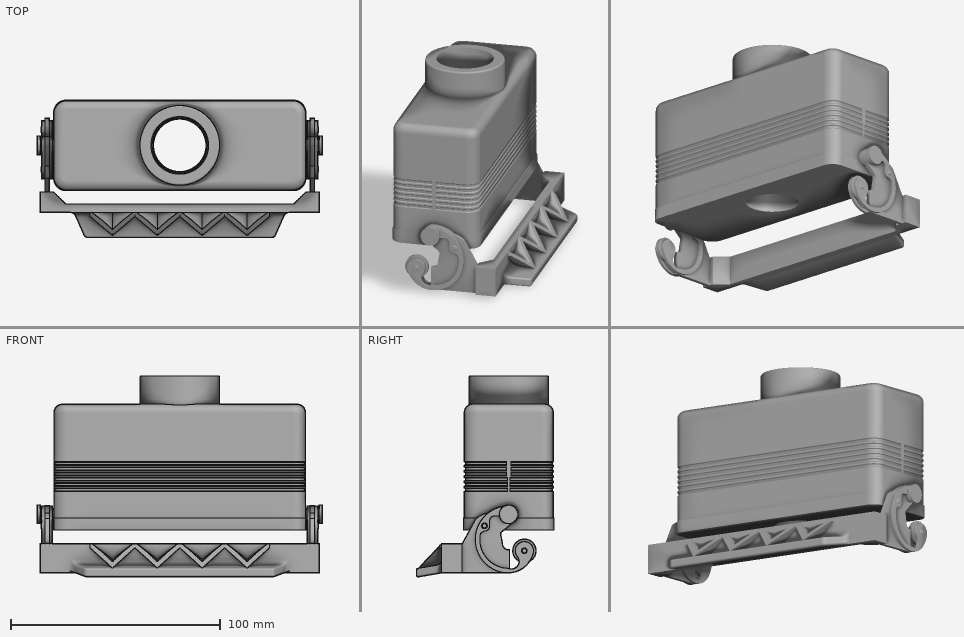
import cadquery as cq
import math

HOOD_LENGTH = 120.0
HOOD_WIDTH = 42.5
HOOD_HEIGHT = 60.0
HOOD_CORNER_RADIUS = 6.0
HOOD_TOP_RADIUS = 4.0
SKIRT_LENGTH = 120.3
SKIRT_WIDTH = 43.2
SKIRT_HEIGHT = 5.8

COLLAR_DIAMETER = 38.0
COLLAR_TOP_Z = 73.5
COLLAR_EDGE_RADIUS = 0.8
BORE_DIAMETER = 27.5
PASSAGE_DIAMETER = 25.0
PASSAGE_CHAMFER = 0.6

GROOVE_COUNT = 6
GROOVE_LOWEST_Z = 19.2
GROOVE_PITCH = 2.5
GROOVE_WIDTH = 1.8
GROOVE_FLOOR_WIDTH = 1.0
GROOVE_DEPTH = 0.5
LOWER_GROOVE_COUNT = 3
LOWER_BRIDGE_WIDTH = 1.3
UPPER_BRIDGE_WIDTH = 2.1

LATCH_MID_X = 63.3
LEVER_THICKNESS = 2.15
HOOK_THICKNESS = 1.5
HOOK_OUTER_X = LATCH_MID_X + LEVER_THICKNESS / 2 + HOOK_THICKNESS
PIVOT_Z = 7.5
PIVOT_PIN_DIAMETER = 5.4
PIVOT_CAP_DIAMETER = 9.0
PIVOT_CAP_THICKNESS = 1.5
PIVOT_CAP_OUTER_X = 68.0
PIVOT_DISC_RADIUS = 4.0
LEVER_EYE_RADIUS = 4.15
HOOK_CENTER_Z = -4.5
HOOK_OUTER_RADIUS = 16.0
HOOK_INNER_RADIUS = 13.8
ROLLER_Y = 7.45
ROLLER_Z = -9.9
ROLLER_RADIUS = 5.6
HOOK_HEAD_RADIUS = 4.35
RIVET_Y = -11.6
RIVET_Z = 2.0
RIVET_DIAMETER = 2.7
RIVET_HEIGHT = 0.4
RIVET_CHAMFER = 0.3

BAR_LENGTH = 133.2
BAR_TOP_Z = -6.5
BAR_BOTTOM_Z = HOOK_CENTER_Z - HOOK_OUTER_RADIUS
BAR_BACK_Y = -22.2
BAR_RELIEF_Y = -27.9
BAR_FRONT_Y = -32.0
BAR_END_HALF_LENGTH = 60.25
BAR_RELIEF_HALF_LENGTH = 54.3

LIP_TIP_Y = -44.04
LIP_SLOPE = 9.6
LIP_TOP_ROOT_Z = -16.4
LIP_ROOT_HALF_LENGTH = 50.45
LIP_TIP_HALF_LENGTH = 45.1
LIP_CORNER_RADIUS = 2.0
LIP_EDGE_RADIUS = 0.9
LIP_ROOT_RADIUS = 2.8

TOOTH_COUNT = 4
TOOTH_PITCH = 21.4
TOOTH_VALLEY_Z = -8.5
TOOTH_APEX_Y = -43.0
TOOTH_APEX_Z = -18.2
POCKET_HALF_WIDTH = 9.75
POCKET_BACK_Z = -14.0
POCKET_FRONT_Z = -15.5


def polar(center_y, center_z, radius, angle):
    """Point of a circle in the YZ plane, angle in degrees from +Y towards +Z."""
    turn = math.radians(angle)
    return center_y + radius * math.cos(turn), center_z + radius * math.sin(turn)


def disc(y, z, radius, x_start, x_end):
    """Cylinder along X."""
    return cq.Workplane("YZ", origin=(x_start, 0, 0)).center(y, z).circle(radius).extrude(x_end - x_start)


def rounded_block(length, width, height, radius):
    """Upright block standing on Z = 0 with rounded corners in plan."""
    block = cq.Workplane("XY").rect(length, width).extrude(height)
    return block.edges("|Z").fillet(radius)


def make_groove(z, bridge_width):
    """Trapezoid ring groove, left out at the middle of both hood ends."""
    half_floor = GROOVE_FLOOR_WIDTH / 2
    half_mouth = GROOVE_WIDTH / 2
    floor_y = GROOVE_DEPTH - HOOD_WIDTH / 2
    mouth_y = -HOOD_WIDTH / 2
    section = (
        cq.Workplane("YZ")
        .polyline([(floor_y, z - half_floor), (floor_y, z + half_floor), (mouth_y, z + half_mouth),
                   (mouth_y, z - half_mouth)])
        .close()
    )
    path = cq.Workplane("XY", origin=(0, 0, z)).rect(HOOD_LENGTH, HOOD_WIDTH).extrude(1)
    path = path.edges("|Z").fillet(HOOD_CORNER_RADIUS).faces("<Z").wires()
    ring = section.sweep(path, transition="right")
    bridge = cq.Workplane("XY").box(2 * HOOD_LENGTH, bridge_width, 2 * HOOD_HEIGHT)
    return ring.cut(bridge)


def make_hood():
    hood = rounded_block(HOOD_LENGTH, HOOD_WIDTH, HOOD_HEIGHT, HOOD_CORNER_RADIUS)
    hood = hood.faces(">Z").edges().fillet(HOOD_TOP_RADIUS)
    for index in range(GROOVE_COUNT):
        bridge_width = LOWER_BRIDGE_WIDTH if index < LOWER_GROOVE_COUNT else UPPER_BRIDGE_WIDTH
        hood = hood.cut(make_groove(GROOVE_LOWEST_Z + index * GROOVE_PITCH, bridge_width))
    return hood.union(rounded_block(SKIRT_LENGTH, SKIRT_WIDTH, SKIRT_HEIGHT, HOOD_CORNER_RADIUS))


def add_cable_entry(hood):
    """Collar with a bore down to the hood top and a narrower passage right through the hood."""
    collar_height = COLLAR_TOP_Z - HOOD_HEIGHT
    collar = cq.Workplane("XY").circle(COLLAR_DIAMETER / 2).extrude(COLLAR_TOP_Z)
    collar = collar.faces(">Z").edges().fillet(COLLAR_EDGE_RADIUS)
    bore = (
        cq.Workplane("XY", origin=(0, 0, HOOD_HEIGHT))
        .circle(BORE_DIAMETER / 2)
        .extrude(collar_height)
        .faces("<Z").chamfer(PASSAGE_CHAMFER)
    )
    passage = cq.Workplane("XY").circle(PASSAGE_DIAMETER / 2).extrude(HOOD_HEIGHT)
    return hood.union(collar).cut(bore).cut(passage)


def make_lever():
    """Lever plate from the pivot eye to the handle bar, with the roller disc beside it."""
    x_start = LATCH_MID_X - LEVER_THICKNESS / 2
    x_end = LATCH_MID_X + LEVER_THICKNESS / 2
    eye_top = polar(0, PIVOT_Z, LEVER_EYE_RADIUS, 90)
    eye_back = polar(0, PIVOT_Z, LEVER_EYE_RADIUS, 0)
    eye_throat = polar(0, PIVOT_Z, LEVER_EYE_RADIUS, -49)
    crest_radius = HOOK_OUTER_RADIUS + LEVER_EYE_RADIUS - PIVOT_DISC_RADIUS
    crest_mid = polar(0, HOOK_CENTER_Z, crest_radius, 109)
    crest_end = polar(0, HOOK_CENTER_Z, crest_radius, 128)
    shoulder_mid = (-12.9, 7.2)
    shoulder_end = (-15.6, 5.5)
    bar_overlap_y = BAR_BACK_Y - 1
    finger_y = 0.35
    finger_top_z = -9.4
    throat_lower_mid = (-2.0, -8.7)
    throat_lower_end = (-2.9, -7.2)
    throat_mid = (-3.3, -4.6)
    throat_upper_end = (-3.8, -2.3)
    throat_corner_mid = (-3.7, -1.4)
    throat_corner_end = (-3.1, -0.7)
    plate = (
        cq.Workplane("YZ", origin=(x_start, 0, 0))
        .moveTo(*eye_top)
        .threePointArc(crest_mid, crest_end)
        .threePointArc(shoulder_mid, shoulder_end)
        .lineTo(BAR_BACK_Y, BAR_TOP_Z)
        .lineTo(bar_overlap_y, BAR_TOP_Z)
        .lineTo(bar_overlap_y, BAR_BOTTOM_Z)
        .lineTo(finger_y, BAR_BOTTOM_Z)
        .lineTo(finger_y, finger_top_z)
        .threePointArc(throat_lower_mid, throat_lower_end)
        .threePointArc(throat_mid, throat_upper_end)
        .threePointArc(throat_corner_mid, throat_corner_end)
        .lineTo(*eye_throat)
        .threePointArc(eye_back, eye_top)
        .close()
        .extrude(LEVER_THICKNESS)
    )
    return plate.union(disc(ROLLER_Y, ROLLER_Z, ROLLER_RADIUS, x_start, x_end))


def make_hook(x_start):
    """Hook plate curling from the pivot around the throat to the head that carries the roller."""
    x_end = x_start + HOOK_THICKNESS
    outer_top = polar(0, HOOK_CENTER_Z, HOOK_OUTER_RADIUS, 90)
    outer_mid = polar(0, HOOK_CENTER_Z, HOOK_OUTER_RADIUS, 180)
    outer_bottom = polar(0, HOOK_CENTER_Z, HOOK_OUTER_RADIUS, 270)
    inner_bottom = polar(0, HOOK_CENTER_Z, HOOK_INNER_RADIUS, 270)
    inner_mid = polar(0, HOOK_CENTER_Z, HOOK_INNER_RADIUS, 225)
    inner_end = polar(0, HOOK_CENTER_Z, HOOK_INNER_RADIUS, 170)
    head_back = polar(ROLLER_Y, ROLLER_Z, HOOK_HEAD_RADIUS, -10)
    head_neck = polar(ROLLER_Y, ROLLER_Z, HOOK_HEAD_RADIUS, 220)
    back_mid = (8.9, -16.3)
    neck_mid = (4.4, -16.8)
    lobe_radius = 2.5
    lobe_entry_mid = (-12.9, -1.2)
    lobe_bottom = polar(RIVET_Y, RIVET_Z, lobe_radius, -90)
    lobe_mid = polar(RIVET_Y, RIVET_Z, lobe_radius, -45)
    lobe_side = polar(RIVET_Y, RIVET_Z, lobe_radius, 0)
    arm_lower_z = 6.6
    arm_corner_radius = 2.0
    corner_y = lobe_side[0] + arm_corner_radius
    corner_z = arm_lower_z - arm_corner_radius
    arm = (
        cq.Workplane("YZ", origin=(x_start, 0, 0))
        .moveTo(*outer_top)
        .threePointArc(outer_mid, outer_bottom)
        .threePointArc(back_mid, head_back)
        .lineTo(ROLLER_Y, ROLLER_Z)
        .lineTo(*head_neck)
        .threePointArc(neck_mid, inner_bottom)
        .threePointArc(inner_mid, inner_end)
        .threePointArc(lobe_entry_mid, lobe_bottom)
        .threePointArc(lobe_mid, lobe_side)
        .lineTo(lobe_side[0], corner_z)
        .threePointArc(polar(corner_y, corner_z, -arm_corner_radius, -45), (corner_y, arm_lower_z))
        .lineTo(0, arm_lower_z)
        .close()
        .extrude(HOOK_THICKNESS)
    )
    pivot_disc = disc(0, PIVOT_Z, PIVOT_DISC_RADIUS, x_start, x_end)
    head = disc(ROLLER_Y, ROLLER_Z, HOOK_HEAD_RADIUS, x_start, x_end)
    return arm.union(pivot_disc).union(head)


def make_rivet(y, z):
    """Low chamfered rivet head on the outside of the outer hook plate."""
    head = disc(y, z, RIVET_DIAMETER / 2, HOOK_OUTER_X, HOOK_OUTER_X + RIVET_HEIGHT)
    return head.faces(">X").chamfer(RIVET_CHAMFER)


def make_latch():
    """Latch at the +X end, including the pivot pin that ties it to the hood."""
    latch = make_lever()
    latch = latch.union(make_hook(LATCH_MID_X + LEVER_THICKNESS / 2))
    latch = latch.union(make_hook(LATCH_MID_X - LEVER_THICKNESS / 2 - HOOK_THICKNESS))
    cap_start = PIVOT_CAP_OUTER_X - PIVOT_CAP_THICKNESS
    latch = latch.union(disc(0, PIVOT_Z, PIVOT_PIN_DIAMETER / 2, HOOD_LENGTH / 2 - 1, cap_start))
    latch = latch.union(disc(0, PIVOT_Z, PIVOT_CAP_DIAMETER / 2, cap_start, PIVOT_CAP_OUTER_X))
    for y, z in [(RIVET_Y, RIVET_Z), (ROLLER_Y, ROLLER_Z)]:
        latch = latch.union(make_rivet(y, z))
    return latch


def make_bar():
    """Straight bar with thicker ends that meet the levers."""
    half = BAR_LENGTH / 2
    outline = [
        (-half, BAR_FRONT_Y),
        (half, BAR_FRONT_Y),
        (half, BAR_BACK_Y),
        (BAR_END_HALF_LENGTH, BAR_BACK_Y),
        (BAR_RELIEF_HALF_LENGTH, BAR_RELIEF_Y),
        (-BAR_RELIEF_HALF_LENGTH, BAR_RELIEF_Y),
        (-BAR_END_HALF_LENGTH, BAR_BACK_Y),
        (-half, BAR_BACK_Y),
    ]
    bar = cq.Workplane("XY", origin=(0, 0, BAR_BOTTOM_Z)).polyline(outline).close()
    return bar.extrude(BAR_TOP_Z - BAR_BOTTOM_Z)


def root_flare(slope, root_offset):
    """Arc blending the bar face into a lip face that starts at root_offset and falls off towards the tip.

    Each point is (Y, offset); the order is bar face, middle of the arc, lip face.
    """
    center_y = BAR_FRONT_Y - LIP_ROOT_RADIUS
    turn = math.radians(slope)
    center_offset = root_offset - LIP_ROOT_RADIUS * math.tan(turn) + LIP_ROOT_RADIUS / math.cos(turn)
    end_angle = slope - 90
    return [polar(center_y, center_offset, LIP_ROOT_RADIUS, angle) for angle in (0, end_angle / 2, end_angle)]


def make_lip():
    """Sloping plate, flared at the bar and narrowing towards its tip, with rounded corners and edges."""
    drop = (BAR_FRONT_Y - LIP_TIP_Y) * math.tan(math.radians(LIP_SLOPE))
    top_wall, top_mid, top_foot = root_flare(LIP_SLOPE, LIP_TOP_ROOT_Z)
    plate = (
        cq.Workplane("YZ")
        .moveTo(BAR_FRONT_Y, BAR_BOTTOM_Z)
        .lineTo(LIP_TIP_Y, BAR_BOTTOM_Z - drop)
        .lineTo(LIP_TIP_Y, LIP_TOP_ROOT_Z - drop)
        .lineTo(*top_foot)
        .threePointArc(top_mid, top_wall)
        .close()
        .extrude(BAR_LENGTH / 2, both=True)
    )
    taper = math.degrees(math.atan2(LIP_ROOT_HALF_LENGTH - LIP_TIP_HALF_LENGTH, BAR_FRONT_Y - LIP_TIP_Y))
    side_wall, side_mid, side_foot = root_flare(taper, LIP_ROOT_HALF_LENGTH)
    half_plan = (
        cq.Workplane("XY")
        .moveTo(0, BAR_FRONT_Y)
        .lineTo(side_wall[1], side_wall[0])
        .threePointArc((side_mid[1], side_mid[0]), (side_foot[1], side_foot[0]))
        .lineTo(LIP_TIP_HALF_LENGTH, LIP_TIP_Y)
        .lineTo(0, LIP_TIP_Y)
        .close()
        .extrude(2 * BAR_BOTTOM_Z)
    )
    tip_corner = cq.selectors.NearestToPointSelector((LIP_TIP_HALF_LENGTH, LIP_TIP_Y, BAR_BOTTOM_Z))
    half_plan = half_plan.edges(tip_corner).fillet(LIP_CORNER_RADIUS)
    lip = plate.intersect(half_plan.union(half_plan.mirror("YZ")))
    clear_of_bar = cq.selectors.BoxSelector(
        (-BAR_LENGTH, LIP_TIP_Y - 1, 2 * BAR_BOTTOM_Z),
        (BAR_LENGTH, BAR_FRONT_Y - 0.05, 0),
    )
    return lip.edges("not |Z").edges(clear_of_bar).fillet(LIP_EDGE_RADIUS)


def make_tooth(center_x):
    """One V of the brace: a wedge below the sloping front plane, hollowed by a V pocket."""
    half = TOOTH_PITCH / 2
    depth = BAR_FRONT_Y - TOOTH_APEX_Y
    tooth = (
        cq.Workplane("XZ", origin=(center_x, BAR_FRONT_Y, 0))
        .polyline([(-half, BAR_TOP_Z), (-half, TOOTH_VALLEY_Z), (0, TOOTH_APEX_Z), (half, TOOTH_VALLEY_Z),
                   (half, BAR_TOP_Z)])
        .close()
        .extrude(depth)
    )
    wedge = (
        cq.Workplane("YZ", origin=(center_x - half, 0, 0))
        .polyline([(BAR_FRONT_Y, BAR_TOP_Z), (TOOTH_APEX_Y, TOOTH_APEX_Z), (BAR_FRONT_Y, TOOTH_APEX_Z)])
        .close()
        .extrude(TOOTH_PITCH)
    )
    pocket = (
        cq.Workplane("XZ", origin=(center_x, BAR_FRONT_Y, 0))
        .polyline([(-POCKET_HALF_WIDTH, BAR_TOP_Z), (POCKET_HALF_WIDTH, BAR_TOP_Z), (0, POCKET_BACK_Z)])
        .close()
        .workplane(offset=depth)
        .polyline([(-POCKET_HALF_WIDTH, BAR_TOP_Z), (POCKET_HALF_WIDTH, BAR_TOP_Z), (0, POCKET_FRONT_Z)])
        .close()
        .loft(ruled=True)
    )
    return tooth.intersect(wedge).cut(pocket)


def make_handle():
    handle = make_bar().union(make_lip())
    for index in range(TOOTH_COUNT):
        handle = handle.union(make_tooth((index - (TOOTH_COUNT - 1) / 2) * TOOTH_PITCH))
    return handle


latch = make_latch()
result = add_cable_entry(make_hood())
result = result.union(latch).union(latch.mirror("YZ")).union(make_handle())